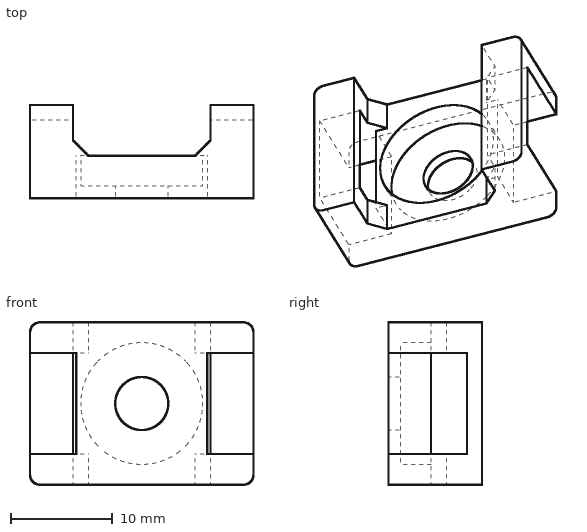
import cadquery as cq

length = 22.0
depth = 9.2
height = 16.0
corner_radius = 1.0

post_thickness = 4.25
floor_thickness = 4.2
channel_chamfer = 1.5

opening_height = 9.9
opening_reach = 4.55
bar_depth = 1.5

screw_hole_diameter = 5.2
counterbore_diameter = 12.0
bore_depth = 1.2


def make_block():
    """Block with its four Y-direction edges rounded."""
    block = cq.Workplane("XY").box(length, depth, height, centered=(True, False, True))
    return block.edges("|Y").fillet(corner_radius)


def make_channel():
    """Channel with chamfered floor corners, open at the back, top and bottom."""
    half_width = length / 2 - post_thickness
    half_floor = half_width - channel_chamfer
    chamfer_top = floor_thickness + channel_chamfer
    outline = [
        (-half_width, depth),
        (-half_width, chamfer_top),
        (-half_floor, floor_thickness),
        (half_floor, floor_thickness),
        (half_width, chamfer_top),
        (half_width, depth),
    ]
    return cq.Workplane("XY").polyline(outline).close().extrude(height / 2, both=True)


def make_strap_opening(side):
    """Strap opening at one end; side is -1 for the -X end and 1 for the +X end."""
    opening_depth = depth - bar_depth
    opening = cq.Workplane("XY").box(opening_reach, opening_depth, opening_height)
    return opening.translate((side * (length - opening_reach) / 2, opening_depth / 2, 0))


def make_strap_tunnel():
    """Clear passage along X between the floor and the bars, as tall as the openings."""
    tunnel_depth = depth - bar_depth - floor_thickness
    tunnel = cq.Workplane("XY").box(length, tunnel_depth, opening_height)
    return tunnel.translate((0, floor_thickness + tunnel_depth / 2, 0))


def make_screw_hole():
    """Short bore at the front, opening into a wide counterbore up to the channel floor."""
    bore_radius = screw_hole_diameter / 2
    counterbore_radius = counterbore_diameter / 2
    half_section = [
        (0, 0),
        (0, -bore_radius),
        (bore_depth, -bore_radius),
        (bore_depth, -counterbore_radius),
        (floor_thickness, -counterbore_radius),
        (floor_thickness, 0),
    ]
    return cq.Workplane("YZ").polyline(half_section).close().revolve(360, (0, 0), (1, 0))


result = make_block().cut(make_channel()).cut(make_strap_tunnel())
for end in (-1, 1):
    result = result.cut(make_strap_opening(end))
result = result.cut(make_screw_hole())